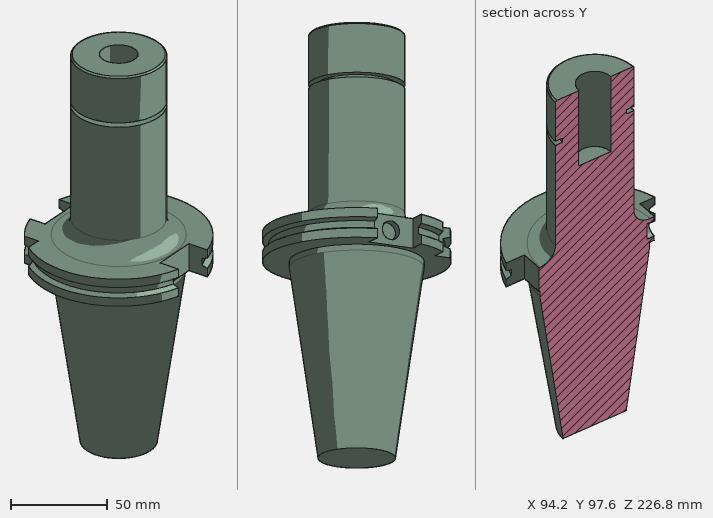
import cadquery as cq

total_length = 226.8
taper_length = 101.8
taper_large_radius = 35.0
taper_slope = 7 / 48

flange_radius = 48.8
flange_bottom = 3.2
flange_thickness = 15.9
groove_floor_radius = 45.5
groove_mouth_width = 6.1
groove_floor_width = 3.6

nose_radius = 25.0
root_fillet = 10.0
tip_chamfer = 1.0
cap_length = 27.0
neck_width = 2.5
neck_radius = 20.5
bore_radius = 10.0
bore_depth = 49.9

slot_width = 25.6
slot_floor_left = 37.6
slot_floor_right = 35.4
notch_x = 29.7
notch_y = 30.0
chip_hole_radius = 5.0
chip_hole_depth = 4.5

taper_small_radius = taper_large_radius - taper_slope * taper_length
flange_top = flange_bottom + flange_thickness
flange_middle = flange_bottom + flange_thickness / 2
tip_z = total_length - taper_length
neck_top = tip_z - cap_length
neck_bottom = neck_top - neck_width


def revolved_body():
    """Taper, grooved flange and necked nose as one revolved half-profile (radius, height)."""
    fillet_centre = (nose_radius + root_fillet, flange_top + root_fillet)
    fillet_mid = tuple(c - root_fillet * 0.5 ** 0.5 for c in fillet_centre)
    return (
        cq.Workplane("XZ")
        .moveTo(0, -taper_length)
        .lineTo(taper_small_radius, -taper_length)
        .lineTo(taper_large_radius, 0)
        .lineTo(taper_large_radius, flange_bottom)
        .lineTo(flange_radius, flange_bottom)
        .lineTo(flange_radius, flange_middle - groove_mouth_width / 2)
        .lineTo(groove_floor_radius, flange_middle - groove_floor_width / 2)
        .lineTo(groove_floor_radius, flange_middle + groove_floor_width / 2)
        .lineTo(flange_radius, flange_middle + groove_mouth_width / 2)
        .lineTo(flange_radius, flange_top)
        .lineTo(fillet_centre[0], flange_top)
        .threePointArc(fillet_mid, (nose_radius, fillet_centre[1]))
        .lineTo(nose_radius, neck_bottom)
        .lineTo(neck_radius, neck_bottom)
        .lineTo(neck_radius, neck_top)
        .lineTo(nose_radius, neck_top)
        .lineTo(nose_radius, tip_z - tip_chamfer)
        .lineTo(nose_radius - tip_chamfer, tip_z)
        .lineTo(0, tip_z)
        .close()
        .revolve(360, (0, 0, 0), (0, 1, 0))
    )


def flange_cut(x_min, x_max, y_min, y_max):
    """Block that cuts through the full thickness of the flange."""
    return (
        cq.Workplane("XY", origin=(x_min, y_min, flange_bottom))
        .box(x_max - x_min, y_max - y_min, flange_thickness, centered=False)
    )


def tool_bore():
    """Blind bore in the nose tip."""
    return (
        cq.Workplane("XY", origin=(0, 0, tip_z - bore_depth))
        .circle(bore_radius)
        .extrude(bore_depth)
    )


def chip_hole():
    """Shallow round pocket in the floor of the -X drive slot."""
    return (
        cq.Workplane("YZ", origin=(-slot_floor_left, 0, flange_middle))
        .circle(chip_hole_radius)
        .extrude(chip_hole_depth)
    )


half_slot = slot_width / 2
left_slot = flange_cut(-flange_radius, -slot_floor_left, -half_slot, half_slot)
right_slot = flange_cut(slot_floor_right, flange_radius, -half_slot, half_slot)
corner_notch = flange_cut(-flange_radius, -notch_x, -flange_radius, -notch_y)

result = (
    revolved_body()
    .cut(left_slot)
    .cut(right_slot)
    .cut(corner_notch)
    .cut(tool_bore())
    .cut(chip_hole())
)